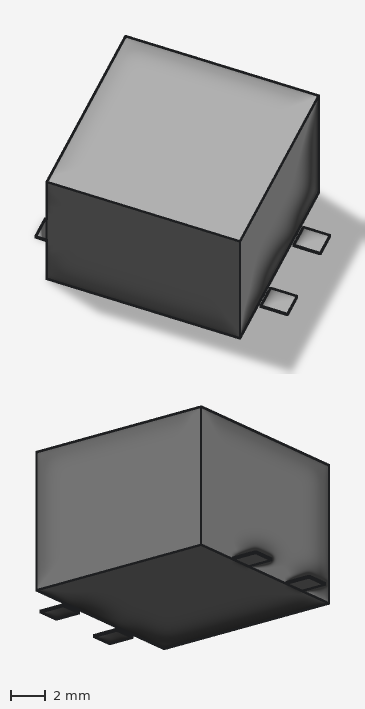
import cadquery as cq

overall_length = 15.64
overall_height = 8.6

housing_side = 12.0
pad_thickness = 0.1
housing_height = overall_height - pad_thickness

pad_length = 1.66
pad_width = 1.47
pad_pitch = 5.0
pad_center_x = (overall_length - pad_length) / 2
pad_center_y = pad_pitch / 2


def make_housing():
    """Plain block with its underside at Z = 0."""
    return cq.Workplane("XY").box(
        housing_side, housing_side, housing_height, centered=(True, True, False)
    )


def make_pad(center_x, center_y):
    """Thin flat pad with its top face level with the housing underside."""
    return (
        cq.Workplane("XY")
        .box(pad_length, pad_width, pad_thickness, centered=(True, True, False))
        .translate((center_x, center_y, -pad_thickness))
    )


housing = make_housing()

pads = []
for side_x in (-1, 1):
    for side_y in (-1, 1):
        pads.append(make_pad(side_x * pad_center_x, side_y * pad_center_y))

result = cq.Compound.makeCompound([housing.val(), *[pad.val() for pad in pads]])